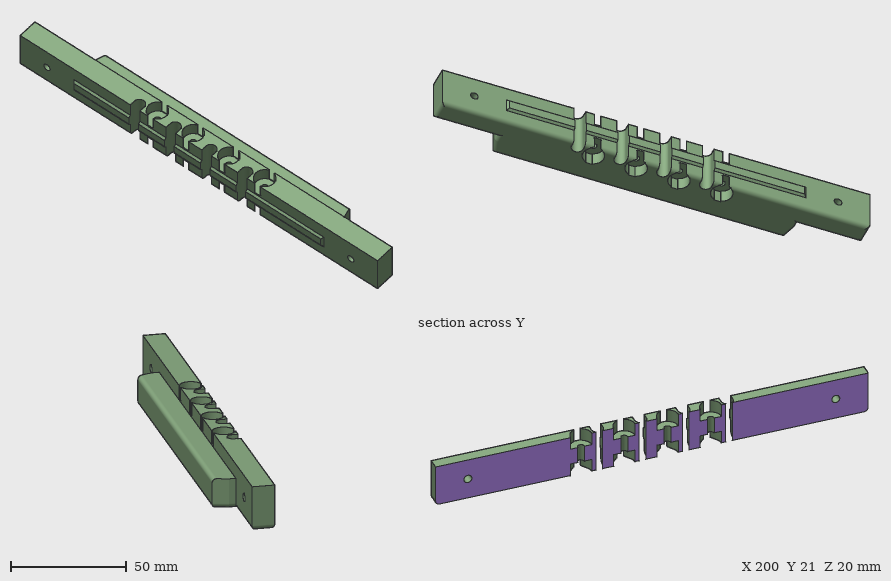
import cadquery as cq
import math

bar_length = 200.0
bar_depth = 10.0
bar_height = 20.0
edge_radius = 2.0

block_length = 140.0
block_taper_angle = 16.0
block_depth = 10.0
block_straight_depth = 3.0
block_height = 13.5

rib_length = 140.0
rib_height = 6.3
rib_projection = 1.0
rib_center_z = bar_height / 2

station_count = 4
station_pitch = 20.0
first_slot_x = -35.65
first_bore_x = -27.3

slot_width = 5.4
slot_depth = 5.55

bore_center_y = bar_depth / 2
bore_diameter = 9.7
bore_depth = 6.0
window_width = 3.0
pilot_diameter = 3.0

mount_hole_diameter = 3.5
mount_hole_spacing = 170.0


def station_positions(first_x):
    """X positions of a feature repeated at every station."""
    return [first_x + index * station_pitch for index in range(station_count)]


def upright_cylinder(x, y, diameter, bottom_z, height):
    return cq.Workplane("XY", origin=(x, y, bottom_z)).circle(diameter / 2).extrude(height)


def make_block():
    half_length = block_length / 2
    taper_depth = block_depth - block_straight_depth
    half_back = half_length - taper_depth * math.tan(math.radians(block_taper_angle))
    taper_y = bar_depth + block_straight_depth
    back_y = bar_depth + block_depth
    outline = [
        (-half_length, bar_depth),
        (half_length, bar_depth),
        (half_length, taper_y),
        (half_back, back_y),
        (-half_back, back_y),
        (-half_length, taper_y),
    ]
    block = cq.Workplane("XY").polyline(outline).close().extrude(block_height)
    return block.faces(">Y").edges(">Z").fillet(edge_radius)


def make_body():
    """Bar and rear block, rounded all round the underside."""
    bar = cq.Workplane("XY").box(bar_length, bar_depth, bar_height, centered=(True, False, False))
    body = bar.union(make_block())
    return body.faces("<Z").edges().fillet(edge_radius)


def make_rib():
    rib_plane = cq.Workplane("XZ", origin=(0, 0, rib_center_z))
    return rib_plane.rect(rib_length, rib_height).extrude(rib_projection, taper=45)


def make_slot(x):
    """Full-height slot, open at the front and round at its inner end."""
    half_width = slot_width / 2
    shoulder_y = slot_depth - half_width
    profile = (
        cq.Workplane("XY", origin=(x, 0, 0))
        .moveTo(-half_width, -rib_projection)
        .lineTo(-half_width, shoulder_y)
        .threePointArc((0, slot_depth), (half_width, shoulder_y))
        .lineTo(half_width, -rib_projection)
        .close()
    )
    return profile.extrude(bar_height)


def make_bore_end(x, bottom_z):
    """Wide bore with a narrow window opening it through the bar's front and back faces."""
    bore = upright_cylinder(x, bore_center_y, bore_diameter, bottom_z, bore_depth)
    window = cq.Workplane("XY", origin=(x, 0, bottom_z)).box(
        window_width, bar_depth, bore_depth, centered=(True, False, False)
    )
    return bore.union(window)


def make_bore(x):
    """Through pilot hole with a windowed bore at its lower and upper ends."""
    pilot = upright_cylinder(x, bore_center_y, pilot_diameter, 0, bar_height)
    lower = make_bore_end(x, 0)
    upper = make_bore_end(x, bar_height - bore_depth)
    return pilot.union(lower).union(upper)


def make_mount_hole(x):
    hole_plane = cq.Workplane("XZ", origin=(x, 0, bar_height / 2))
    return hole_plane.circle(mount_hole_diameter / 2).extrude(-bar_depth)


result = make_body().union(make_rib())

for slot_x in station_positions(first_slot_x):
    result = result.cut(make_slot(slot_x))

for bore_x in station_positions(first_bore_x):
    result = result.cut(make_bore(bore_x))

for side in (-1, 1):
    result = result.cut(make_mount_hole(side * mount_hole_spacing / 2))